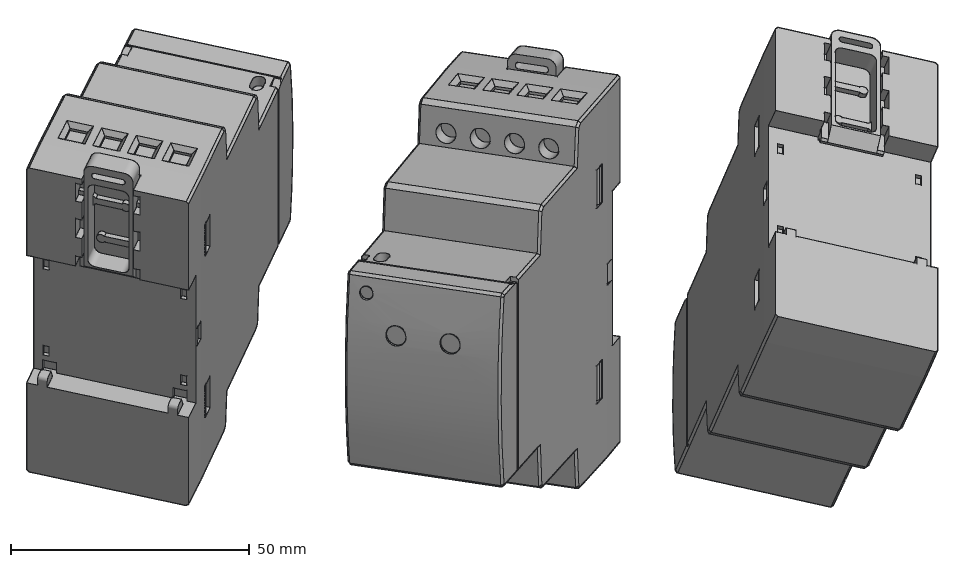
import cadquery as cq
import math


width = 35.8
housing_height = 85.0
depth = 72.8
draft = math.tan(math.radians(0.5))
seam_y = 8.1
lower_step_y = 26.8
lower_step_half = 32.8
upper_step_y = 49.1
upper_step_half = 22.3
riser_lean = 0.9
lid_corner_y = 71.1
lid_chamfer = 0.6
shoulder_chamfer = 1.4
shoulder_chamfer_drop = 0.9
side_chamfer = 0.5

joint_y = 61.9
joint_width = 0.6
joint_depth = 0.3
lid_edge_y = 65.2
lid_edge_width = 0.3
lid_notch_width = 1.8
lid_notch_depth = 1.1

terminal_pitch = 7.6
terminal_count = 4
terminal_y = 13.8
terminal_mouth = 5.9
terminal_throat = 3.9
funnel_depth = 1.15
throat_depth = 0.6
screw_hole_diameter = 4.4
screw_hole_z = 78.3
screw_hole_depth = 3.5
button_diameter = 4.4
button_x = 6.0
button_z = 52.3
lamp_x = 12.9
lamp_diameter = 2.9
lamp_z = 60.7
lid_recess_depth = 0.4
seal_slot_y = 61.9
seal_slot_width = 2.8
seal_slot_length = 4.5
seal_slot_depth = 2.7
side_slot_start_y = 11.2
side_slot_end_y = 14.5
side_slot_length = 8.8
side_slot_shallow = 0.2
side_slot_deep = 1.15
side_slot_centres_z = (19.85, 64.85)
side_ramp_start_y = 12.3
side_ramp_end_y = 13.6
pry_notch_length_y = 2.4
pry_notch_height = 4.9
pry_notch_depth = 0.6

rail_bottom = 24.8
rail_top = 60.3
rail_depth = 4.9
lug_x = 14.35
lug_width = 2.1
lug_height = 2.3
lug_root_depth = 0.4
lug_base_y = 3.6
lug_top_end_y = 2.6
lug_tip_radius = 0.9
lug_pocket_width = 3.0
lug_pocket_top = 27.6
floor_pocket_depth = 0.9
vent_x = 15.15
vent_width = 1.3
vent_height = 2.7
vent_centres_z = (30.4, 54.4)

clip_top = 88.6
clip_half_width = 5.4
clip_front_y = 0.5
clip_seat_y = 5.05
clip_corner = 2.0
clip_gap = 0.3
clip_slot_length = 7.35
clip_slot_height = 1.5
clip_slot_z = 86.0
window_half_width = 4.5
window_bottom = 60.8
window_top = 83.55
window_corner = 1.6
bar_front_y = 3.9
bar_height = 1.6
bar_free_end = 3.7
bar_bulb_diameter = 2.1
bar_root_height = 2.7
bar_root_length = 0.7
bar_levels = ((76.0, 1), (65.9, -1))
guide_half_width = 7.1
guide_depth = 3.2
guide_spans_z = ((78.4, 83.4), (68.3, 73.5), (60.25, 63.1))
guide_stop_height = 1.15
guide_stop_y = 2.2
latch_tip_z = 57.7
latch_tip_front_y = 3.2
latch_tip_back_y = 3.7
latch_notch_y = 4.2
latch_notch_z = 59.2
latch_root_z = 59.45
arm_half_width = 6.9
arm_front_y = 2.7
arm_bottom = 58.1
arm_top = 62.9

half_width = width / 2
mid_z = housing_height / 2
lid_top = mid_z + upper_step_half
lid_bottom = mid_z - upper_step_half
lid_corner_half = upper_step_half - lid_chamfer
joint_half_width = half_width - draft * (joint_y - seam_y)


def box(x0, x1, y0, y1, z0, z1):
    return cq.Workplane("XY").box(x1 - x0, y1 - y0, z1 - z0, centered=False).translate((x0, y0, z0))


def side_profile(points, x0, x1):
    """Extrude a closed (Y, Z) outline from x0 to x1."""
    return cq.Workplane("YZ", origin=(x0, 0, 0)).polyline(points).close().extrude(x1 - x0)


def plan_profile(points, z0, z1):
    """Extrude a closed (X, Y) outline from z0 to z1."""
    return cq.Workplane("XY", origin=(0, 0, z0)).polyline(points).close().extrude(z1 - z0)


def cylinder_y(x, z, diameter, y0, y1):
    return cq.Workplane("XZ", origin=(x, y0, z)).circle(diameter / 2).extrude(y0 - y1)


def both_sides(solid):
    return solid.union(solid.mirror("YZ"))


def half_width_at(y):
    """Half the drafted width: widest at the seam and narrower towards both ends."""
    return half_width - draft * abs(y - seam_y)


def taper_sides(body, y0, y1):
    """Give a body between y0 and y1 its drafted side walls and chamfer their rims."""
    near = half_width_at(y0)
    far = half_width_at(y1)
    body = body.intersect(plan_profile([(-near, y0), (near, y0), (far, y1), (-far, y1)], 0, housing_height))
    rim = []
    for edge in body.edges().vals():
        centre = edge.Center()
        bounds = edge.BoundingBox()
        on_side = math.isclose(abs(centre.x), half_width_at(centre.y), abs_tol=0.01)
        on_end_face = bounds.ymax < y0 + 0.01 or bounds.ymin > y1 - 0.01
        if on_side and not on_end_face:
            rim.append(edge)
    return body.newObject(rim).chamfer(side_chamfer)


def front_shell():
    """Two terminal shoulders above and below a bowed lid."""
    lower_corner_y = lower_step_y - riser_lean
    upper_corner_y = upper_step_y - riser_lean
    lower_corner_half = mid_z - draft * (lower_corner_y - seam_y)
    upper_corner_half = lower_step_half - draft * (upper_corner_y - lower_step_y)
    upper_half = [
        (seam_y, mid_z),
        (lower_corner_y - shoulder_chamfer, lower_corner_half),
        (lower_corner_y, lower_corner_half - shoulder_chamfer_drop),
        (lower_step_y, lower_step_half),
        (upper_corner_y - shoulder_chamfer, upper_corner_half),
        (upper_corner_y, upper_corner_half - shoulder_chamfer_drop),
        (upper_step_y, upper_step_half),
        (lid_corner_y - lid_chamfer, upper_step_half),
        (lid_corner_y, lid_corner_half),
    ]
    lower_half = [(y, -z) for y, z in reversed(upper_half)]
    shell = (
        cq.Workplane("YZ", origin=(-half_width, 0, mid_z))
        .polyline(upper_half)
        .threePointArc((depth, 0), lower_half[0])
        .polyline(lower_half[1:], includeCurrent=True)
        .close()
        .extrude(width)
    )
    return taper_sides(shell, seam_y, depth)


def back_plate():
    inset = draft * seam_y
    outline = [(0, inset), (seam_y, 0), (seam_y, housing_height), (0, housing_height - inset)]
    return taper_sides(side_profile(outline, -half_width, half_width), 0, seam_y)


def lid_joint():
    """Groove down both sides of the lid and across its top edge, with a notch at each top corner."""
    side = box(
        joint_half_width - joint_depth, half_width, joint_y, joint_y + joint_width, lid_bottom, lid_top
    )
    notch_floor = lid_top - lid_notch_depth
    notch = side_profile(
        [
            (joint_y, lid_top),
            (joint_y, notch_floor),
            (joint_y + joint_width, notch_floor),
            (lid_edge_y, lid_top),
        ],
        joint_half_width - lid_notch_width,
        half_width,
    )
    top = box(
        -half_width, half_width, lid_edge_y - lid_edge_width, lid_edge_y, lid_top - joint_depth, lid_top
    )
    return both_sides(side.union(notch)).union(top)


def terminal(x):
    """Square funnel in the top face that ends in a short throat, plus a screw hole in the riser."""
    top_z = housing_height - draft * (terminal_y - terminal_mouth / 2 - seam_y)
    funnel = (
        cq.Workplane("XY", origin=(x, terminal_y, top_z))
        .rect(terminal_mouth, terminal_mouth)
        .workplane(offset=-funnel_depth)
        .rect(terminal_throat, terminal_throat)
        .loft(ruled=True)
    )
    throat = (
        cq.Workplane("XY", origin=(x, terminal_y, top_z - funnel_depth))
        .rect(terminal_throat, terminal_throat)
        .extrude(-throat_depth)
    )
    screw_hole = cylinder_y(
        x, screw_hole_z, screw_hole_diameter, lower_step_y - screw_hole_depth, lower_step_y
    )
    return funnel.union(throat).union(screw_hole)


def lid_recess(x, z, diameter):
    """Round recess of even depth in the bowed lid face."""
    bow = depth - lid_corner_y
    bow_radius = (lid_corner_half**2 + bow**2) / (2 * bow)
    offset = z - mid_z
    surface_y = depth - bow_radius + math.sqrt(bow_radius**2 - offset**2)
    return cylinder_y(x, z, diameter, surface_y - lid_recess_depth, depth)


def seal_slot():
    return (
        cq.Workplane("XY", origin=(lamp_x, seal_slot_y, lid_top))
        .slot2D(seal_slot_length, seal_slot_width, 90)
        .extrude(-seal_slot_depth)
    )


def side_slot(centre_z):
    """Slot in each side wall, with a floor that ramps down from shallow to deep towards the lid."""
    wall_x = half_width_at(side_slot_start_y)
    shallow_x = wall_x - side_slot_shallow
    deep_x = wall_x - side_slot_deep
    slot = plan_profile(
        [
            (half_width, side_slot_start_y),
            (shallow_x, side_slot_start_y),
            (shallow_x, side_ramp_start_y),
            (deep_x, side_ramp_end_y),
            (deep_x, side_slot_end_y),
            (half_width, side_slot_end_y),
        ],
        centre_z - side_slot_length / 2,
        centre_z + side_slot_length / 2,
    )
    return both_sides(slot)


def pry_notch():
    """Wedge in each side wall, deepest at the seam."""
    start_y = seam_y - pry_notch_length_y
    wedge = plan_profile(
        [
            (half_width_at(start_y), start_y),
            (half_width, start_y),
            (half_width, seam_y),
            (half_width - pry_notch_depth, seam_y),
        ],
        mid_z - pry_notch_height / 2,
        mid_z + pry_notch_height / 2,
    )
    return both_sides(wedge)


def rail_channel():
    """Rail channel with floor pockets along both sides, one of them behind each hook lug."""
    channel = box(-half_width, half_width, 0, rail_depth, rail_bottom, rail_top)
    floor_y = rail_depth + floor_pocket_depth
    pockets = box(
        lug_x - lug_pocket_width / 2,
        lug_x + lug_pocket_width / 2,
        0,
        floor_y,
        rail_bottom,
        lug_pocket_top,
    )
    for z in vent_centres_z:
        pockets = pockets.union(
            box(
                vent_x - vent_width / 2,
                vent_x + vent_width / 2,
                0,
                floor_y,
                z - vent_height / 2,
                z + vent_height / 2,
            )
        )
    return channel.union(both_sides(pockets))


def rail_lugs():
    """Hook lugs that rise from the lower lip of the rail channel."""
    lug_top = rail_bottom + lug_height
    root_z = rail_bottom - lug_root_depth
    lug = (
        cq.Workplane("YZ", origin=(lug_x - lug_width / 2, 0, 0))
        .moveTo(0, root_z)
        .lineTo(lug_base_y, root_z)
        .lineTo(lug_base_y, rail_bottom)
        .lineTo(lug_top_end_y, lug_top)
        .lineTo(lug_tip_radius, lug_top)
        .radiusArc((0, lug_top - lug_tip_radius), -lug_tip_radius)
        .close()
        .extrude(lug_width)
    )
    return both_sides(lug)


def clip_bay():
    """Groove the clip slides in, with guide pockets on both sides and a small stop in the top pair."""
    groove_half = clip_half_width + clip_gap
    bay = box(-groove_half, groove_half, 0, clip_seat_y, rail_top, housing_height)
    for z0, z1 in guide_spans_z:
        bay = bay.union(box(-guide_half_width, guide_half_width, 0, guide_depth, z0, z1))
    stop_z0 = guide_spans_z[0][0]
    stop_z1 = stop_z0 + guide_stop_height
    stop = box(groove_half, guide_half_width, guide_stop_y, guide_depth, stop_z0, stop_z1)
    return bay.cut(both_sides(stop))


def spring_bar(z, free_direction):
    """Thin bar across the clip window, with a flared root and a round bulb on its free end."""
    free_x = bar_free_end - bar_bulb_diameter / 2
    bar = box(-window_half_width, free_x, bar_front_y, clip_seat_y, z - bar_height / 2, z + bar_height / 2)
    root = (
        cq.Workplane("XZ", origin=(-window_half_width, bar_front_y, z))
        .polyline(
            [
                (0, -bar_root_height / 2),
                (0, bar_root_height / 2),
                (bar_root_length, bar_height / 2),
                (bar_root_length, -bar_height / 2),
            ]
        )
        .close()
        .extrude(bar_front_y - clip_seat_y)
    )
    bar = bar.union(root).union(cylinder_y(free_x, z, bar_bulb_diameter, bar_front_y, clip_seat_y))
    return bar if free_direction > 0 else bar.mirror("YZ")


def latch():
    """Sloped nose that snaps over the rail, with a flat-fronted arm at each end."""
    underside = [
        (latch_tip_front_y, latch_tip_z),
        (latch_tip_back_y, latch_tip_z),
        (latch_notch_y, latch_notch_z),
        (rail_depth, latch_root_z),
    ]
    nose_outline = [(clip_front_y, rail_top), *underside, (rail_depth, rail_top)]
    arm_outline = [(arm_front_y, arm_top), (arm_front_y, arm_bottom), *underside, (rail_depth, arm_top)]
    nose = side_profile(nose_outline, -clip_half_width, clip_half_width)
    arm = side_profile(arm_outline, clip_half_width, arm_half_width)
    return nose.union(both_sides(arm))


def clip():
    """Release clip: a window frame with a pull slot on top and a sloped latch over the rail."""
    plate = box(-clip_half_width, clip_half_width, clip_front_y, clip_seat_y, rail_top, clip_top)
    plate = plate.edges("|Y and >Z").fillet(clip_corner)
    window = box(
        -window_half_width, window_half_width, clip_front_y, clip_seat_y, window_bottom, window_top
    ).edges("|Y").fillet(window_corner)
    slot = (
        cq.Workplane("XZ", origin=(0, clip_front_y, clip_slot_z))
        .slot2D(clip_slot_length, clip_slot_height)
        .extrude(clip_front_y - clip_seat_y)
    )
    frame = plate.cut(window).cut(slot).union(latch())
    for z, free_direction in bar_levels:
        frame = frame.union(spring_bar(z, free_direction))
    return frame


result = front_shell().union(back_plate())
result = result.cut(lid_joint()).cut(seal_slot())
for i in range(terminal_count):
    result = result.cut(terminal((i - (terminal_count - 1) / 2) * terminal_pitch))
for x in (-button_x, button_x):
    result = result.cut(lid_recess(x, button_z, button_diameter))
result = result.cut(lid_recess(lamp_x, lamp_z, lamp_diameter))
for z in side_slot_centres_z:
    result = result.cut(side_slot(z))
result = result.cut(pry_notch()).cut(rail_channel()).cut(clip_bay())
result = result.union(rail_lugs()).union(clip())